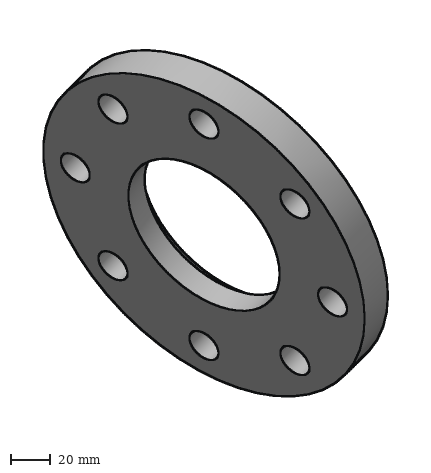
import cadquery as cq

outer_diameter = 200.0
thickness = 20.0
bore_diameter = 94.0
bore_chamfer = 6.0

bolt_circle_diameter = 160.0
bolt_hole_diameter = 18.0
bolt_hole_count = 8


def make_ring():
    """Flat ring centred on the origin, with its bore bevelled on the +Y face."""
    ring = (
        cq.Workplane("XZ", origin=(0, thickness / 2, 0))
        .circle(outer_diameter / 2)
        .circle(bore_diameter / 2)
        .extrude(thickness)
    )
    bore_edge = cq.selectors.RadiusNthSelector(0)
    return ring.faces(">Y").edges(bore_edge).chamfer(bore_chamfer)


def make_bolt_holes():
    """Cylinders that cut through the full thickness of the ring."""
    return (
        cq.Workplane("XZ", origin=(0, thickness / 2, 0))
        .polarArray(bolt_circle_diameter / 2, 0, 360, bolt_hole_count)
        .circle(bolt_hole_diameter / 2)
        .extrude(thickness)
    )


result = make_ring().cut(make_bolt_holes())